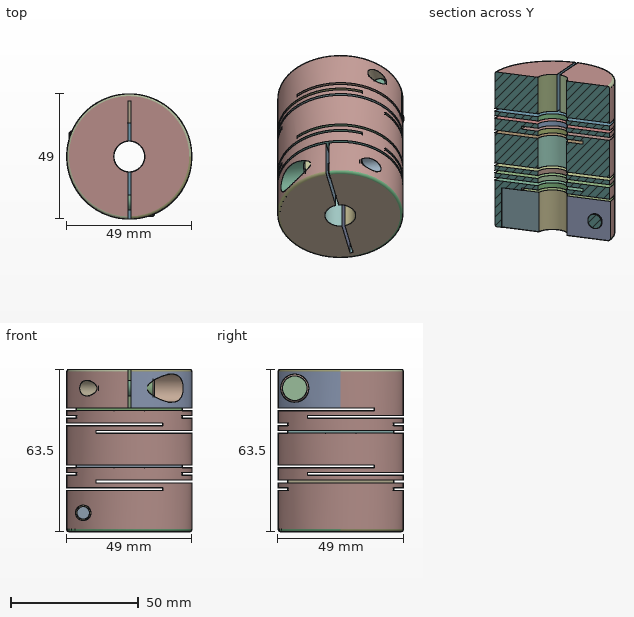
import cadquery as cq

outer_diameter = 49.0
length = 63.5
bore_diameter = 12.0
edge_radius = 1.0

cut_width = 1.0
cut_pitch = 2.95
hinge_offset = 13.0
lowest_cut_height = 16.7
highest_cut_depth = 15.65
lower_cut_sides = ["-X", "+X", "+Y", "-Y"]
upper_cut_sides = ["-Y", "+Y", "-X", "+X"]

slit_width = 1.2
slit_end = 21.6

screw_offset = 18.0
screw_end_distance = 7.4
screw_diameter = 6.0
screw_tip = 12.5
screw_tip_chamfer = 0.55
head_diameter = 11.0
head_top = 9.9
head_height = 6.0
head_chamfer = 0.7

outer_radius = outer_diameter / 2
head_seat = head_top - head_height
clear_size = 2 * outer_diameter

SIDE_TURN = {"-Y": 0, "+X": 90, "+Y": 180, "-X": 270}


def make_body():
    body = cq.Workplane("XY").circle(outer_radius).extrude(length)
    body = body.faces("<Z or >Z").edges().fillet(edge_radius)
    bore = cq.Workplane("XY").circle(bore_diameter / 2).extrude(length)
    return body.cut(bore)


def half_slab(width, far_end, bottom, height):
    """Box centred on X that covers everything from beyond -Y up to Y = far_end."""
    return (
        cq.Workplane("XY")
        .box(width, clear_size, height, centered=(True, False, False))
        .translate((0, far_end - clear_size, bottom))
    )


def flexure_cut(side, center_height):
    cut = half_slab(clear_size, hinge_offset, center_height - cut_width / 2, cut_width)
    return cut.rotate((0, 0, 0), (0, 0, 1), SIDE_TURN[side])


def rod(radius, start, end):
    """Cylinder on the screw axis, which runs along X, between two X positions."""
    return (
        cq.Workplane("YZ", origin=(start, 0, 0))
        .center(-screw_offset, length - screw_end_distance)
        .circle(radius)
        .extrude(end - start)
    )


def clamp_cavities(hub_height):
    """Slit, threaded hole and counterbore of a hub at the top of the body."""
    slit = half_slab(slit_width, slit_end, length - hub_height, hub_height)
    hole = rod(screw_diameter / 2, -outer_diameter, 0)
    counterbore = rod(head_diameter / 2, head_seat, outer_diameter)
    return slit.union(hole).union(counterbore)


def clamp_screw():
    """Screw of the upper hub, with its head towards +X; it fills the middle of its hole."""
    shank = rod(screw_diameter / 2, -screw_tip, head_top).faces("<X").chamfer(screw_tip_chamfer)
    head = rod(head_diameter / 2, head_seat, head_top).faces(">X").chamfer(head_chamfer)
    return shank.union(head)


def to_lower_hub(shape):
    """Half turn about the horizontal line X = Y at mid length."""
    middle = length / 2
    return shape.rotate((0, 0, middle), (1, 1, middle), 180)


result = make_body()

for index, side in enumerate(lower_cut_sides):
    result = result.cut(flexure_cut(side, lowest_cut_height + index * cut_pitch))

for index, side in enumerate(upper_cut_sides):
    result = result.cut(flexure_cut(side, length - highest_cut_depth - index * cut_pitch))

upper_cavities = clamp_cavities(highest_cut_depth - cut_width / 2)
lower_cavities = to_lower_hub(clamp_cavities(lowest_cut_height - cut_width / 2))
screw = clamp_screw()
result = result.cut(upper_cavities).union(screw)
result = result.cut(lower_cavities).union(to_lower_hub(screw))